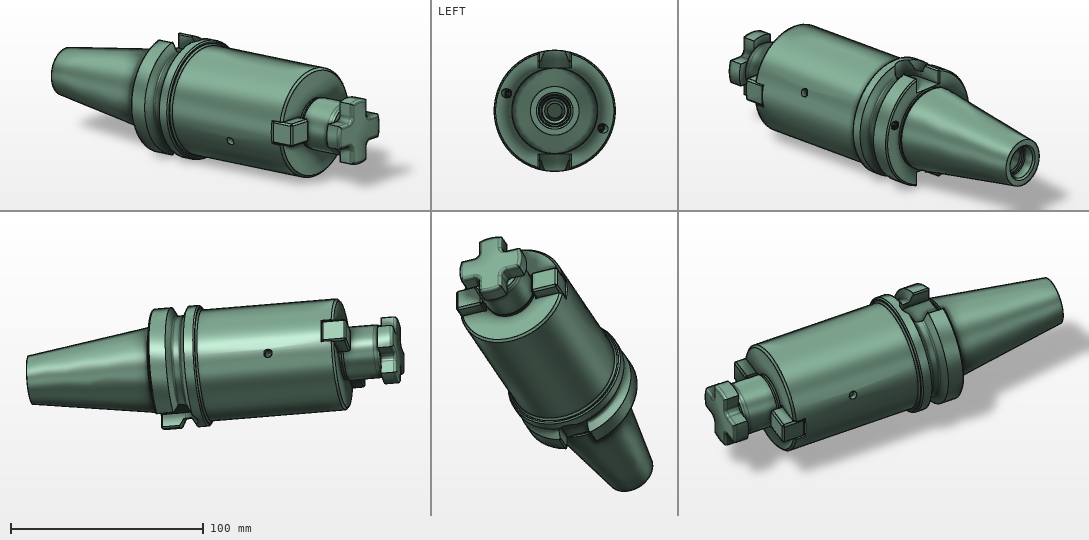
import cadquery as cq
import math


SMALL_END_RADIUS = 12.6
GAUGE_X = 65.5
GAUGE_RADIUS = 22.4
NECK_RADIUS = 21.5
NECK_RAMP = 0.5

FLANGE_X = 67.5
FLANGE_RADIUS = 31.5
FACE_CHAMFER = 0.8
GROOVE_X = 76.8
GROOVE_RADIUS = 26.8
GROOVE_FLOOR_LENGTH = 4.3
GROOVE_HALF_ANGLE = 30
GROOVE_FILLET = 1.0
FLANGE_END_X = 92.1
CORNER_CHAMFER = 1.0

BODY_RADIUS = 29.0
BODY_END_X = 165.0
BODY_CHAMFER = 1.2
PILOT_RADIUS = 13.8
UNDERCUT_RADIUS = 13.5
UNDERCUT_LENGTH = 1.2
LEAD_X = 183.3
LEAD_LENGTH = 1.7
LEAD_DROP = 0.4
PILOT_END_X = 186.2
PILOT_END_CHAMFER = 0.5

MOUTH_RADIUS = 9.5
COUNTERBORE_RADIUS = 8.5
COUNTERBORE_DEPTH = 6.2
THREAD_RADIUS = 8.0
THREAD_RELIEF_LENGTH = 1.2
THREAD_CORE_RADIUS = 7.2
THREAD_DEPTH = 35.0
DRILL_RADIUS = 6.6
DRILL_DEPTH = 38.9
BORE_RADIUS = 5.2
DRILL_HALF_ANGLE = 60

DRIVE_SLOT_HALF_WIDTH = 8.0
DRIVE_SLOT_FLOOR = 22.4
DRIVE_SLOT_END_X = 88.3
SLOT_EDGE_CHAMFER = 0.8

COOLANT_ANGLE = 20
COOLANT_FACE_RADIUS = 26.6
COOLANT_TILT = 30
COOLANT_RADIUS = 2.3
COOLANT_DEPTH = 11.7
SET_SCREW_RECESS = 2.0
SET_SCREW_CHAMFER = 0.5
SET_SCREW_LENGTH = COOLANT_DEPTH - SET_SCREW_RECESS
SOCKET_SIDES = 6
SOCKET_ACROSS_CORNERS = 2.7
SOCKET_DEPTH = 2.3

RADIAL_HOLE_X = 130.2
RADIAL_HOLE_RADIUS = 2.1
RADIAL_HOLE_DEPTH = 4.3

KEY_BACK_X = 158.6
KEY_FRONT_X = 171.7
KEY_WIDTH = 12.2
KEY_OUTER_Y = 28.2
KEY_CHAMFER = 1.0

HEAD_END_X = 194.4
HEAD_RADIUS = 17.3
LOBE_WIDTH = 12.5
LOBE_FILLET = 3.0
HEAD_EDGE_FILLET = 1.5
SHANK_START_X = 116.6
SHANK_END_RADIUS = 3.9


def turned(profile):
    return cq.Workplane("XZ").polyline(profile).close().revolve(360, (0, 0, 0), (1, 0, 0))


def around_axis(solid, angle):
    return solid.rotate((0, 0, 0), (1, 0, 0), angle)


def outer_form():
    flank = (FLANGE_RADIUS - GROOVE_RADIUS) * math.tan(math.radians(GROOVE_HALF_ANGLE))
    groove_floor_x = GROOVE_X + flank
    groove_floor_end_x = groove_floor_x + GROOVE_FLOOR_LENGTH
    undercut_x = BODY_END_X + UNDERCUT_LENGTH
    lead_radius = PILOT_RADIUS - LEAD_DROP
    form = turned([
        (0, 0),
        (0, SMALL_END_RADIUS),
        (GAUGE_X, GAUGE_RADIUS),
        (GAUGE_X + NECK_RAMP, NECK_RADIUS),
        (FLANGE_X - NECK_RAMP, NECK_RADIUS),
        (FLANGE_X, NECK_RADIUS + NECK_RAMP),
        (FLANGE_X, FLANGE_RADIUS - FACE_CHAMFER),
        (FLANGE_X + FACE_CHAMFER, FLANGE_RADIUS),
        (GROOVE_X, FLANGE_RADIUS),
        (groove_floor_x, GROOVE_RADIUS),
        (groove_floor_end_x, GROOVE_RADIUS),
        (groove_floor_end_x + flank, FLANGE_RADIUS),
        (FLANGE_END_X - FACE_CHAMFER, FLANGE_RADIUS),
        (FLANGE_END_X, FLANGE_RADIUS - FACE_CHAMFER),
        (FLANGE_END_X, BODY_RADIUS + CORNER_CHAMFER),
        (FLANGE_END_X + CORNER_CHAMFER, BODY_RADIUS),
        (BODY_END_X - BODY_CHAMFER, BODY_RADIUS),
        (BODY_END_X, BODY_RADIUS - BODY_CHAMFER),
        (BODY_END_X, UNDERCUT_RADIUS),
        (undercut_x, UNDERCUT_RADIUS),
        (undercut_x + UNDERCUT_LENGTH, PILOT_RADIUS),
        (LEAD_X, PILOT_RADIUS),
        (LEAD_X + LEAD_LENGTH, lead_radius),
        (PILOT_END_X, lead_radius - PILOT_END_CHAMFER),
        (PILOT_END_X, 0),
    ])
    groove_floor = cq.selectors.BoxSelector(
        (groove_floor_x - GROOVE_FILLET, -FLANGE_RADIUS, -FLANGE_RADIUS),
        (groove_floor_end_x + GROOVE_FILLET, FLANGE_RADIUS, FLANGE_RADIUS),
    )
    return form.edges("%CIRCLE").edges(groove_floor).fillet(GROOVE_FILLET)


def stepped_bore():
    relief_x = COUNTERBORE_DEPTH + COUNTERBORE_RADIUS - THREAD_RADIUS
    relief_end_x = relief_x + THREAD_RELIEF_LENGTH
    drill_cone = (DRILL_RADIUS - BORE_RADIUS) / math.tan(math.radians(DRILL_HALF_ANGLE))
    return turned([
        (0, 0),
        (0, MOUTH_RADIUS),
        (MOUTH_RADIUS - COUNTERBORE_RADIUS, COUNTERBORE_RADIUS),
        (COUNTERBORE_DEPTH, COUNTERBORE_RADIUS),
        (relief_x, THREAD_RADIUS),
        (relief_end_x, THREAD_RADIUS),
        (relief_end_x + THREAD_RADIUS - THREAD_CORE_RADIUS, THREAD_CORE_RADIUS),
        (THREAD_DEPTH, THREAD_CORE_RADIUS),
        (THREAD_DEPTH + THREAD_CORE_RADIUS - DRILL_RADIUS, DRILL_RADIUS),
        (DRILL_DEPTH, DRILL_RADIUS),
        (DRILL_DEPTH + drill_cone, BORE_RADIUS),
        (PILOT_END_X, BORE_RADIUS),
        (PILOT_END_X, 0),
    ])


def drive_slot():
    straight_end_x = DRIVE_SLOT_END_X - DRIVE_SLOT_HALF_WIDTH
    return (
        cq.Workplane("XY", origin=(0, 0, DRIVE_SLOT_FLOOR))
        .moveTo(GAUGE_X, -DRIVE_SLOT_HALF_WIDTH)
        .lineTo(straight_end_x, -DRIVE_SLOT_HALF_WIDTH)
        .threePointArc((DRIVE_SLOT_END_X, 0), (straight_end_x, DRIVE_SLOT_HALF_WIDTH))
        .lineTo(GAUGE_X, DRIVE_SLOT_HALF_WIDTH)
        .close()
        .extrude(FLANGE_RADIUS)
    )


def slot_edge_bevels():
    """45 degree bevels where the slot walls meet the flange face and the flange rim."""
    narrow = DRIVE_SLOT_HALF_WIDTH
    wide = narrow + SLOT_EDGE_CHAMFER
    face_bevel = (
        cq.Workplane("XY", origin=(0, 0, DRIVE_SLOT_FLOOR))
        .polyline([
            (FLANGE_X, -wide),
            (FLANGE_X + SLOT_EDGE_CHAMFER, -narrow),
            (FLANGE_X + SLOT_EDGE_CHAMFER, narrow),
            (FLANGE_X, wide),
        ])
        .close()
        .extrude(FLANGE_RADIUS)
    )
    rim_edge_z = math.sqrt(FLANGE_RADIUS**2 - wide**2)
    rim_bevel = (
        cq.Workplane("YZ", origin=(FLANGE_X, 0, 0))
        .polyline([
            (-narrow, rim_edge_z - SLOT_EDGE_CHAMFER),
            (narrow, rim_edge_z - SLOT_EDGE_CHAMFER),
            (wide, rim_edge_z),
            (wide, FLANGE_RADIUS),
            (-wide, FLANGE_RADIUS),
            (-wide, rim_edge_z),
        ])
        .close()
        .extrude(GROOVE_X - FLANGE_X)
    )
    return face_bevel.union(rim_bevel)


def coolant_plane(depth):
    """Plane square to the oblique hole, at the given depth below its mouth."""
    tilt = math.radians(COOLANT_TILT)
    direction = cq.Vector(math.cos(tilt), -math.sin(tilt), 0)
    mouth = cq.Vector(FLANGE_X, COOLANT_FACE_RADIUS, 0)
    return cq.Plane(mouth + direction * depth, (0, 0, 1), direction)


def coolant_hole():
    start = cq.Workplane(coolant_plane(-COOLANT_RADIUS))
    return start.circle(COOLANT_RADIUS).extrude(COOLANT_DEPTH + COOLANT_RADIUS)


def make_set_screw(angle):
    top = cq.Workplane(coolant_plane(SET_SCREW_RECESS))
    screw = top.circle(COOLANT_RADIUS).extrude(SET_SCREW_LENGTH)
    screw = screw.edges("%CIRCLE").chamfer(SET_SCREW_CHAMFER)
    socket = top.polygon(SOCKET_SIDES, SOCKET_ACROSS_CORNERS).extrude(SOCKET_DEPTH)
    return around_axis(screw.cut(socket), angle)


def radial_hole():
    """A blind hole along +Y that ends in a drill cone."""
    floor_y = BODY_RADIUS - RADIAL_HOLE_DEPTH
    tip_depth = RADIAL_HOLE_RADIUS / math.tan(math.radians(DRILL_HALF_ANGLE))
    return (
        cq.Workplane("XY", origin=(RADIAL_HOLE_X, 0, 0))
        .polyline([
            (0, floor_y - tip_depth),
            (RADIAL_HOLE_RADIUS, floor_y),
            (RADIAL_HOLE_RADIUS, FLANGE_RADIUS),
            (0, FLANGE_RADIUS),
        ])
        .close()
        .revolve(360, (0, 0, 0), (0, 1, 0))
    )


def key_box(length, height):
    """Block on the pilot radius on the +Y side, reaching forward from the back of the key."""
    return (
        cq.Workplane("XY", origin=(KEY_BACK_X, PILOT_RADIUS, 0))
        .box(length, height, KEY_WIDTH, centered=(False, False, True))
    )


def key_slot():
    return key_box(BODY_END_X - KEY_BACK_X, FLANGE_RADIUS)


def make_holder():
    holder = outer_form().cut(stepped_bore())
    for half_turn in (0, 180):
        holder = holder.cut(around_axis(drive_slot(), half_turn))
        holder = holder.cut(around_axis(slot_edge_bevels(), half_turn))
        holder = holder.cut(around_axis(key_slot(), half_turn))
        holder = holder.cut(around_axis(coolant_hole(), COOLANT_ANGLE + half_turn))
        holder = holder.cut(around_axis(radial_hole(), COOLANT_ANGLE + half_turn))
    return holder


def make_key(angle):
    key = key_box(KEY_FRONT_X - KEY_BACK_X, KEY_OUTER_Y - PILOT_RADIUS)
    return around_axis(key.edges().chamfer(KEY_CHAMFER), angle)


def make_retaining_screw():
    length = HEAD_END_X - PILOT_END_X
    span = 3 * HEAD_RADIUS
    plane = cq.Workplane("YZ", origin=(PILOT_END_X, 0, 0))
    cross = plane.rect(LOBE_WIDTH, span).extrude(length)
    cross = cross.union(plane.rect(span, LOBE_WIDTH).extrude(length))
    inner = cq.selectors.BoxSelector((0, -LOBE_WIDTH, -LOBE_WIDTH), (HEAD_END_X, LOBE_WIDTH, LOBE_WIDTH))
    cross = cross.edges("|X").edges(inner).fillet(LOBE_FILLET)
    head = cross.intersect(plane.circle(HEAD_RADIUS).extrude(length))
    head = head.faces(">X").edges().fillet(HEAD_EDGE_FILLET)
    shank = turned([
        (SHANK_START_X, 0),
        (SHANK_START_X, SHANK_END_RADIUS),
        (SHANK_START_X + BORE_RADIUS - SHANK_END_RADIUS, BORE_RADIUS),
        (PILOT_END_X, BORE_RADIUS),
        (PILOT_END_X, 0),
    ])
    return head.union(shank)


holder = make_holder()
keys = [make_key(angle) for angle in (0, 180)]
set_screws = [make_set_screw(COOLANT_ANGLE + half_turn) for half_turn in (0, 180)]
retaining_screw = make_retaining_screw()

result = cq.Compound.makeCompound([
    holder.val(),
    *[key.val() for key in keys],
    *[screw.val() for screw in set_screws],
    retaining_screw.val(),
])